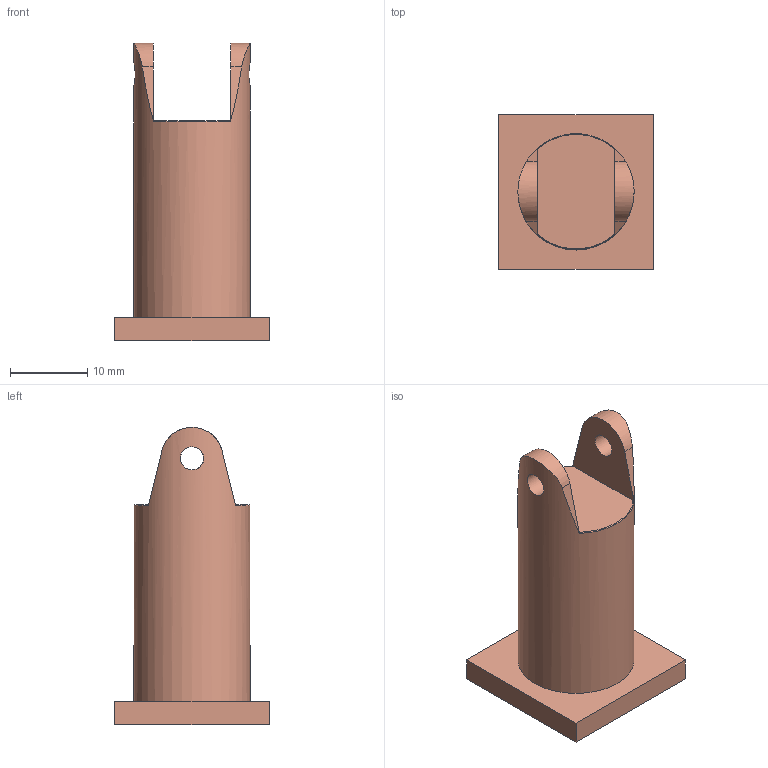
import cadquery as cq
import math

base_side = 20.0
base_thickness = 3.0

post_diameter = 15.0
overall_height = 38.4
fork_gap = 10.0
fork_depth = 10.0
rim_chamfer = 0.1

lug_radius = 4.0
pin_hole_diameter = 3.0

base_half_side = base_side / 2
post_radius = post_diameter / 2
fork_floor = overall_height - fork_depth
pin_height = overall_height - lug_radius
lug_half_width = math.sqrt(post_radius**2 - (fork_gap / 2) ** 2)


def cylinder(height):
    """Post-sized cylinder standing on z = 0."""
    return cq.Workplane("XY").circle(post_radius).extrude(height)


def make_base():
    return cq.Workplane("XY").box(base_side, base_side, base_thickness, centered=(True, True, False))


def make_post():
    """Plain post up to the fork floor, with its rim chamfered."""
    return cylinder(fork_floor).faces(">Z").chamfer(rim_chamfer)


def make_silhouette():
    """Bar along X: wider than the post below the fork floor, round-topped lugs with tangent flanks above."""
    drop = pin_height - fork_floor
    foot_distance = math.hypot(lug_half_width, drop)
    tangent_angle = math.acos(lug_radius / foot_distance) - math.atan2(drop, lug_half_width)
    tangent_y = lug_radius * math.cos(tangent_angle)
    tangent_z = pin_height + lug_radius * math.sin(tangent_angle)
    return (
        cq.Workplane("YZ")
        .moveTo(-base_half_side, 0)
        .lineTo(base_half_side, 0)
        .lineTo(base_half_side, fork_floor)
        .lineTo(lug_half_width, fork_floor)
        .lineTo(tangent_y, tangent_z)
        .threePointArc((0, overall_height), (-tangent_y, tangent_z))
        .lineTo(-lug_half_width, fork_floor)
        .lineTo(-base_half_side, fork_floor)
        .close()
        .extrude(base_half_side, both=True)
    )


def make_fork_gap():
    """Everything between the lugs that lies above the chamfered post."""
    slot = cq.Workplane("XY").box(fork_gap, base_side, overall_height, centered=(True, True, False))
    return slot.cut(make_post())


def make_pin_hole():
    return (
        cq.Workplane("YZ")
        .center(0, pin_height)
        .circle(pin_hole_diameter / 2)
        .extrude(post_radius, both=True)
    )


fork = cylinder(overall_height).intersect(make_silhouette()).cut(make_fork_gap())
result = make_base().union(fork.cut(make_pin_hole()))